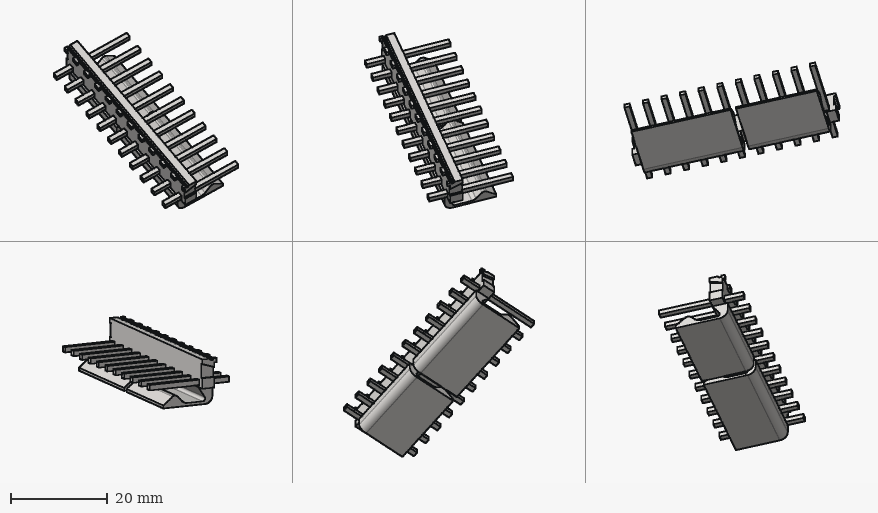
import cadquery as cq


length = 43.45
height = 10.0
wall_thickness = 2.8
wall_bottom = 3.8

pin_count = 11
pin_size = 1.15
pin_center_z = 4.85
pin_front_reach = 4.1
pin_total_length = 18.3
end_margin = 1.9
pitch = (length - 2 * end_margin) / (pin_count - 1)
first_pin_x = -length / 2 + end_margin

notch_depth = 0.45
notch_bottom = 6.0
notch_front_top = 8.08
notch_back_top = 9.0

groove_depth = 0.35
groove_front_y = 0.25
groove_floor_end_y = 0.7
groove_back_y = 1.0

standoff = 0.5
pad_width = 1.45
pad_height = 0.9
end_pad_width = 0.6

ramp_gap = 1.17
pins_before_gap = 5
arm_thickness = 0.65
ramp_tip_y = 10.75
peak_z = 2.48
peak_back_y = 8.45
peak_front_y = 7.77
ramp_foot_y = 5.9
root_corner_y = 0.7
peak_radius = 0.55
foot_radius = 1.3
root_inner_radius = 0.55
root_outer_radius = 1.75


def box(x_range, y_range, z_range):
    """Box filling the given (low, high) ranges."""
    sizes = [high - low for low, high in (x_range, y_range, z_range)]
    corner = (x_range[0], y_range[0], z_range[0])
    return cq.Workplane("XY").box(*sizes, centered=False).translate(corner)


def extrude_along_x(points, x_start, x_end):
    """Prism along X from an outline of (Y, Z) points."""
    return (
        cq.Workplane("YZ", origin=(x_start, 0, 0))
        .polyline(points)
        .close()
        .extrude(x_end - x_start)
    )


def make_wall():
    wall = box((-length / 2, length / 2), (0, wall_thickness), (wall_bottom, height))

    groove_outline = [
        (groove_front_y, height),
        (groove_front_y, height - groove_depth),
        (groove_floor_end_y, height - groove_depth),
        (groove_back_y, height),
    ]
    wall = wall.cut(extrude_along_x(groove_outline, -length / 2, length / 2))

    notch_outline = [
        (0, notch_bottom),
        (0, notch_front_top),
        (wall_thickness, notch_back_top),
        (wall_thickness, notch_bottom),
    ]
    for x_start in (-length / 2, length / 2 - notch_depth):
        wall = wall.cut(extrude_along_x(notch_outline, x_start, x_start + notch_depth))
    return wall


def make_pads():
    x_ranges = [
        (-length / 2, -length / 2 + end_pad_width),
        (length / 2 - end_pad_width, length / 2),
    ]
    for index in range(pin_count - 1):
        center = first_pin_x + (index + 0.5) * pitch
        x_ranges.append((center - pad_width / 2, center + pad_width / 2))
    y_range = (-standoff, groove_front_y)
    return [box(x_range, y_range, (height - pad_height, height)) for x_range in x_ranges]


def make_pins():
    y_range = (-pin_front_reach, pin_total_length - pin_front_reach)
    z_range = (pin_center_z - pin_size / 2, pin_center_z + pin_size / 2)
    pins = []
    for index in range(pin_count):
        center = first_pin_x + index * pitch
        pins.append(box((center - pin_size / 2, center + pin_size / 2), y_range, z_range))
    return pins


def make_ramp(x_start, x_end):
    root_outer_corner = (-standoff, 0)
    root_inner_corner = (root_corner_y, arm_thickness)
    foot = (ramp_foot_y, arm_thickness)
    peak_front = (peak_front_y, peak_z)
    peak_back = (peak_back_y, peak_z)
    outline = [
        (-standoff, wall_bottom),
        root_outer_corner,
        (ramp_tip_y, 0),
        (ramp_tip_y, arm_thickness),
        peak_back,
        peak_front,
        foot,
        root_inner_corner,
        (wall_thickness, wall_bottom),
    ]
    rounding = [
        (root_outer_corner, root_outer_radius),
        (root_inner_corner, root_inner_radius),
        (foot, foot_radius),
        (peak_front, peak_radius),
        (peak_back, peak_radius),
    ]
    ramp = extrude_along_x(outline, x_start, x_end)
    middle_x = (x_start + x_end) / 2
    for (y, z), radius in rounding:
        corner_edge = cq.selectors.NearestToPointSelector((middle_x, y, z))
        ramp = ramp.edges("|X").edges(corner_edge).fillet(radius)
    return ramp


def make_ramps():
    gap_center = first_pin_x + (pins_before_gap - 0.5) * pitch
    return [
        make_ramp(first_pin_x, gap_center - ramp_gap / 2),
        make_ramp(gap_center + ramp_gap / 2, -first_pin_x),
    ]


result = make_wall()
for piece in make_pads() + make_pins() + make_ramps():
    result = result.union(piece)